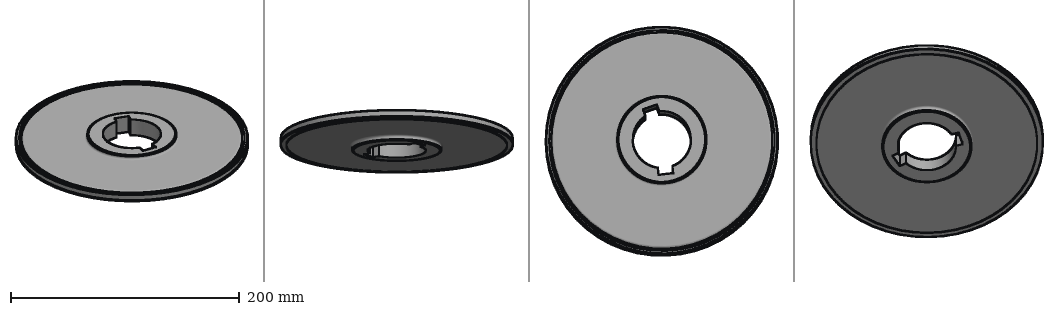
import cadquery as cq
import math

rim_diameter = 203.2
ring_inner_diameter = 197.1
ring_top = 4.0
ring_bottom = -1.6
ring_chamfer = 0.6
flange_bottom = -2.8

web_diameter = 193.2
web_top = 4.0
web_bottom = -3.5
bevel_width = 1.5
bevel_angle = 27.0
blend_radius = 1.6

hub_diameter = 78.2
hub_height = 15.8
hub_chamfer_width = 1.2
hub_chamfer_height = 0.8
hub_fillet = 1.8

bore_diameter = 50.8
keyway_width = 12.8
keyway_reach = 30.9
keyway_angles = (0.0, 167.0)

rim_radius = rim_diameter / 2
ring_inner_radius = ring_inner_diameter / 2
web_radius = web_diameter / 2
hub_radius = hub_diameter / 2
hub_top = hub_height / 2


def hub_end(body, web_face, direction):
    """Add one hub end, standing on a web face in direction +1 (up) or -1 (down)."""
    end_face = direction * hub_top
    chamfer_start = end_face - direction * hub_chamfer_height
    fillet_end = web_face + direction * hub_fillet
    fillet_sag = hub_fillet * (1 - 0.5 ** 0.5)
    fillet_middle = (hub_radius + fillet_sag, web_face + direction * fillet_sag)
    profile = (
        cq.Workplane("XZ")
        .moveTo(0, 0)
        .lineTo(0, end_face)
        .lineTo(hub_radius - hub_chamfer_width, end_face)
        .lineTo(hub_radius, chamfer_start)
        .lineTo(hub_radius, fillet_end)
        .threePointArc(fillet_middle, (hub_radius + hub_fillet, web_face))
        .lineTo(hub_radius + hub_fillet, 0)
        .close()
    )
    return body.union(profile.revolve(360, (0, 0, 0), (0, 1, 0)))


def make_web():
    """Turned web: bevelled and blended top edge, seat for the ring, flange and lower step."""
    angle = math.radians(bevel_angle)
    round_start = web_radius - bevel_width - blend_radius * math.sin(angle)

    def blend_point(turn):
        """Point on the blend arc after turning by the given angle from the top face."""
        return (
            round_start + blend_radius * math.sin(turn),
            web_top - blend_radius * (1 - math.cos(turn)),
        )

    ledge = blend_point(angle)[1] - bevel_width * math.tan(angle)
    profile = (
        cq.Workplane("XZ")
        .moveTo(0, web_bottom)
        .lineTo(web_radius, web_bottom)
        .lineTo(web_radius, flange_bottom)
        .lineTo(rim_radius, flange_bottom)
        .lineTo(rim_radius, ring_bottom)
        .lineTo(ring_inner_radius, ring_bottom)
        .lineTo(ring_inner_radius, ledge)
        .lineTo(web_radius, ledge)
        .lineTo(*blend_point(angle))
        .threePointArc(blend_point(angle / 2), blend_point(0))
        .lineTo(0, web_top)
        .close()
    )
    return profile.revolve(360, (0, 0, 0), (0, 1, 0))


def make_bore():
    """Cutter for the through bore and its keyways."""
    base = cq.Workplane("XY").workplane(offset=-hub_top)
    cutter = base.circle(bore_diameter / 2).extrude(hub_height)
    for angle in keyway_angles:
        keyway = base.center(keyway_reach / 2, 0).rect(keyway_reach, keyway_width).extrude(hub_height)
        cutter = cutter.union(keyway.rotate((0, 0, 0), (0, 0, 1), angle))
    return cutter


def make_disc():
    """Hubbed disc in one piece."""
    disc = hub_end(make_web(), web_top, 1)
    disc = hub_end(disc, web_bottom, -1)
    return disc.cut(make_bore())


def make_ring():
    """Rim ring seated on the disc flange, with its outer top edge chamfered."""
    blank = cq.Workplane("XY").workplane(offset=ring_bottom).circle(rim_radius)
    blank = blank.extrude(ring_top - ring_bottom).faces(">Z").edges().chamfer(ring_chamfer)
    opening = cq.Workplane("XY").workplane(offset=ring_bottom).circle(ring_inner_radius)
    return blank.cut(opening.extrude(ring_top - ring_bottom))


disc = make_disc()
ring = make_ring()

result = cq.Compound.makeCompound([disc.solids().val(), ring.solids().val()])